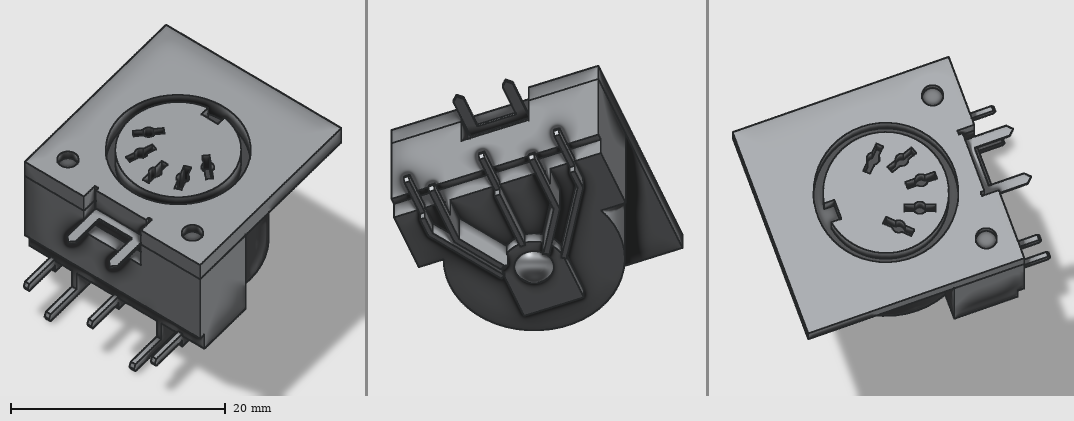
import cadquery as cq
import math


WIDTH = 20.7
FLANGE_THICKNESS = 2.02
FRONT_Y = -9.95
FLANGE_LENGTH = 21.4
SCREW_HOLE_RADIUS = 1.0
SCREW_HOLE_DEPTH = 1.0
SCREW_HOLE_X = 7.35
SCREW_HOLE_Y = -7.27

BARREL_RADIUS = 8.45
BLOCK_BACK_Y = -3.01
BODY_DEPTH = 12.5
STEP_DEPTH = 10.45
STEP_SETBACK = 0.65
STEP_Y = FRONT_Y + STEP_SETBACK

GAP_OUTER_RADIUS = 6.75
INSERT_RADIUS = 5.85
KEY_WIDTH = 1.95
KEY_Y = 4.75

CONTACT_CIRCLE_RADIUS = 3.49
FIRST_CONTACT_ANGLE = 180
CONTACT_STEP = 45
CONTACT_TILTS = [45, 20, 0, -20, -45]
SLOT_LENGTH = 2.91
SLOT_WIDTH = 0.7
SLOT_HOLE_RADIUS = 0.6
SLOT_DEPTH = FLANGE_THICKNESS

POCKET_WIDTH = 6.72
POCKET_DEPTH = 4.95
POCKET_BACK_Y = -8.3
TAB_WIDTH = 5.93
TAB_THICKNESS = 0.37
TAB_FRONT_Y = POCKET_BACK_Y - TAB_THICKNESS

BOSS_RADIUS = 3.0
BOSS_DEPTH = 13.72
BOSS_BACK_Y = 5.03
DOME_RIM_RADIUS = 1.85
DOME_HEIGHT = 1.27

PIN_END_Y = FRONT_Y - 3.5
PIN_HEIGHT = 1.0
PIN_POINT = 0.22
OUTER_PIN_X = 7.5
OUTER_PIN_TOP = 12.2
INNER_PIN_X = 5.0
OUTER_PIN_WIDTH = 0.5
INNER_PIN_WIDTH = 0.55
OUTER_BLADE_DEPTH = 14.02
INNER_BLADE_DEPTH = 15.7
OUTER_BEND_Y = -7.3
OUTER_BLADE_END = (-3.05, -0.15)
INNER_BEND_Y = -6.97
INNER_BLADE_END = (-2.0, -2.12)
CENTRE_BLADE_END_Y = -2.9
BLADE_CORNER = 0.37

CLIP_TOP = 2.56
CLIP_THICKNESS = 0.3
CLIP_BAR_WIDTH = 0.82
PRONG_WIDTH = 1.02
PRONG_POINT = PRONG_WIDTH / 2


def box(x_range, y_range, depth_range):
    """Box between two X values, two Y values and two depths."""
    x0, x1 = x_range
    y0, y1 = y_range
    d0, d1 = depth_range
    return cq.Workplane("XY").box(x1 - x0, y1 - y0, d1 - d0, centered=False).translate((x0, y0, -d1))


def centred_box(width, y_range, depth_range):
    return box((-width / 2, width / 2), y_range, depth_range)


def cylinder(radius, depth_range):
    d0, d1 = depth_range
    return cq.Workplane("XY").workplane(offset=-d1).circle(radius).extrude(d1 - d0)


def pocket():
    return centred_box(POCKET_WIDTH, (FRONT_Y, POCKET_BACK_Y), (0, POCKET_DEPTH))



def make_flange():
    flange = centred_box(WIDTH, (FRONT_Y, FRONT_Y + FLANGE_LENGTH), (0, FLANGE_THICKNESS))
    screw_holes = (
        cq.Workplane("XY")
        .pushPoints([(-SCREW_HOLE_X, SCREW_HOLE_Y), (SCREW_HOLE_X, SCREW_HOLE_Y)])
        .circle(SCREW_HOLE_RADIUS)
        .extrude(-SCREW_HOLE_DEPTH)
    )
    opening = cylinder(GAP_OUTER_RADIUS, (0, FLANGE_THICKNESS))
    tab = centred_box(TAB_WIDTH, (TAB_FRONT_Y, POCKET_BACK_Y), (0, POCKET_DEPTH))
    return flange.cut(screw_holes).cut(opening).cut(pocket()).union(tab)



def contact_opening(angle, tilt):
    """Slot with a round hole in its middle, on the contact circle."""
    x = CONTACT_CIRCLE_RADIUS * math.cos(math.radians(angle))
    y = CONTACT_CIRCLE_RADIUS * math.sin(math.radians(angle))
    slot = cq.Workplane("XY").rect(SLOT_WIDTH, SLOT_LENGTH).extrude(-SLOT_DEPTH)
    opening = slot.union(cylinder(SLOT_HOLE_RADIUS, (0, SLOT_DEPTH)))
    return opening.rotate((0, 0, 0), (0, 0, 1), -tilt).translate((x, y, 0))


def make_insert():
    insert = cylinder(INSERT_RADIUS, (0, FLANGE_THICKNESS))
    insert = insert.cut(centred_box(KEY_WIDTH, (KEY_Y, INSERT_RADIUS), (0, FLANGE_THICKNESS)))
    for index, tilt in enumerate(CONTACT_TILTS):
        insert = insert.cut(contact_opening(FIRST_CONTACT_ANGLE + index * CONTACT_STEP, tilt))
    return insert


def make_boss():
    """Flat boss, round at the front and square at the back, with a spherical dome on the socket axis."""
    dome_radius = (DOME_RIM_RADIUS**2 + DOME_HEIGHT**2) / (2 * DOME_HEIGHT)
    dome = (
        cq.Workplane("XZ")
        .moveTo(0, -BODY_DEPTH)
        .lineTo(DOME_RIM_RADIUS, -BODY_DEPTH)
        .lineTo(DOME_RIM_RADIUS, -BOSS_DEPTH)
        .radiusArc((0, -BOSS_DEPTH - DOME_HEIGHT), dome_radius)
        .close()
        .revolve(360, (0, 0, 0), (0, 1, 0))
    )
    boss = cylinder(BOSS_RADIUS, (BODY_DEPTH, BOSS_DEPTH))
    boss = boss.union(centred_box(2 * BOSS_RADIUS, (0, BOSS_BACK_Y), (BODY_DEPTH, BOSS_DEPTH)))
    return boss.union(dome)


def pin(x, width, top):
    """Straight pin towards the front, its end a shallow point."""
    middle = top + PIN_HEIGHT / 2
    bottom = top + PIN_HEIGHT
    outline = [
        (STEP_Y, -top),
        (PIN_END_Y + PIN_POINT, -top),
        (PIN_END_Y, -middle),
        (PIN_END_Y + PIN_POINT, -bottom),
        (STEP_Y, -bottom),
    ]
    profile = cq.Workplane("YZ").polyline(outline).close()
    return profile.extrude(width / 2, both=True).translate((x, 0, 0))


def bent_blade(x, width, bend_y, end, depth):
    """Upright sheet, straight behind the pin and then bent inwards to its end."""
    end_x, end_y = end
    angle = math.atan2(end_y - bend_y, end_x - x)
    corner_shift = width / 2 * math.tan((math.pi / 2 - angle) / 2)
    half_x = width / 2 * math.sin(angle)
    half_y = width / 2 * math.cos(angle)
    outline = [
        (x - width / 2, STEP_Y),
        (x - width / 2, bend_y + corner_shift),
        (end_x - half_x, end_y + half_y),
        (end_x + half_x, end_y - half_y),
        (x + width / 2, bend_y - corner_shift),
        (x + width / 2, STEP_Y),
    ]
    profile = cq.Workplane("XY").workplane(offset=-depth).polyline(outline).close()
    return profile.extrude(depth - BODY_DEPTH)


def make_outer_contact():
    blade = bent_blade(-OUTER_PIN_X, OUTER_PIN_WIDTH, OUTER_BEND_Y, OUTER_BLADE_END, OUTER_BLADE_DEPTH)
    return blade.union(pin(-OUTER_PIN_X, OUTER_PIN_WIDTH, OUTER_PIN_TOP))


def make_inner_contact():
    blade = bent_blade(-INNER_PIN_X, INNER_PIN_WIDTH, INNER_BEND_Y, INNER_BLADE_END, INNER_BLADE_DEPTH)
    end_x, end_y = INNER_BLADE_END
    corner = cq.selectors.NearestToPointSelector((end_x, end_y, -INNER_BLADE_DEPTH))
    blade = blade.edges(corner).chamfer(BLADE_CORNER)
    return blade.union(pin(-INNER_PIN_X, INNER_PIN_WIDTH, INNER_BLADE_DEPTH - PIN_HEIGHT))


def make_centre_contact():
    blade = centred_box(OUTER_PIN_WIDTH, (STEP_Y, CENTRE_BLADE_END_Y), (BODY_DEPTH, OUTER_BLADE_DEPTH))
    return blade.union(pin(0, OUTER_PIN_WIDTH, OUTER_PIN_TOP))


def make_housing():
    barrel = cylinder(BARREL_RADIUS, (FLANGE_THICKNESS, BODY_DEPTH))
    block = centred_box(WIDTH, (FRONT_Y, BLOCK_BACK_Y), (FLANGE_THICKNESS, BODY_DEPTH))
    step = centred_box(WIDTH, (FRONT_Y, STEP_Y), (STEP_DEPTH, BODY_DEPTH))
    housing = barrel.union(block).cut(step).cut(pocket())
    housing = housing.union(make_insert()).union(make_boss()).union(make_centre_contact())
    for contact in (make_outer_contact(), make_inner_contact()):
        housing = housing.union(contact).union(contact.mirror("YZ"))
    return housing



def prong(x_range, back_y):
    """Flat prong with its end cut to a right-angled point."""
    x0, x1 = x_range
    shoulder_y = PIN_END_Y + PRONG_POINT
    outline = [
        (x0, back_y),
        (x0, shoulder_y),
        ((x0 + x1) / 2, PIN_END_Y),
        (x1, shoulder_y),
        (x1, back_y),
    ]
    return cq.Workplane("XY").workplane(offset=-CLIP_TOP).polyline(outline).close().extrude(-CLIP_THICKNESS)


def make_clip():
    """Flat U against the tab, its two prongs pointing out to the front."""
    bar_front_y = TAB_FRONT_Y - CLIP_BAR_WIDTH
    depth_range = (CLIP_TOP, CLIP_TOP + CLIP_THICKNESS)
    clip = centred_box(TAB_WIDTH, (bar_front_y, TAB_FRONT_Y), depth_range)
    outer_x = TAB_WIDTH / 2
    inner_x = outer_x - PRONG_WIDTH
    for x_range in ((-outer_x, -inner_x), (inner_x, outer_x)):
        clip = clip.union(prong(x_range, bar_front_y))
    return clip


flange = make_flange()
housing = make_housing()
clip = make_clip()
result = cq.Compound.makeCompound([flange.val(), housing.val(), clip.val()])